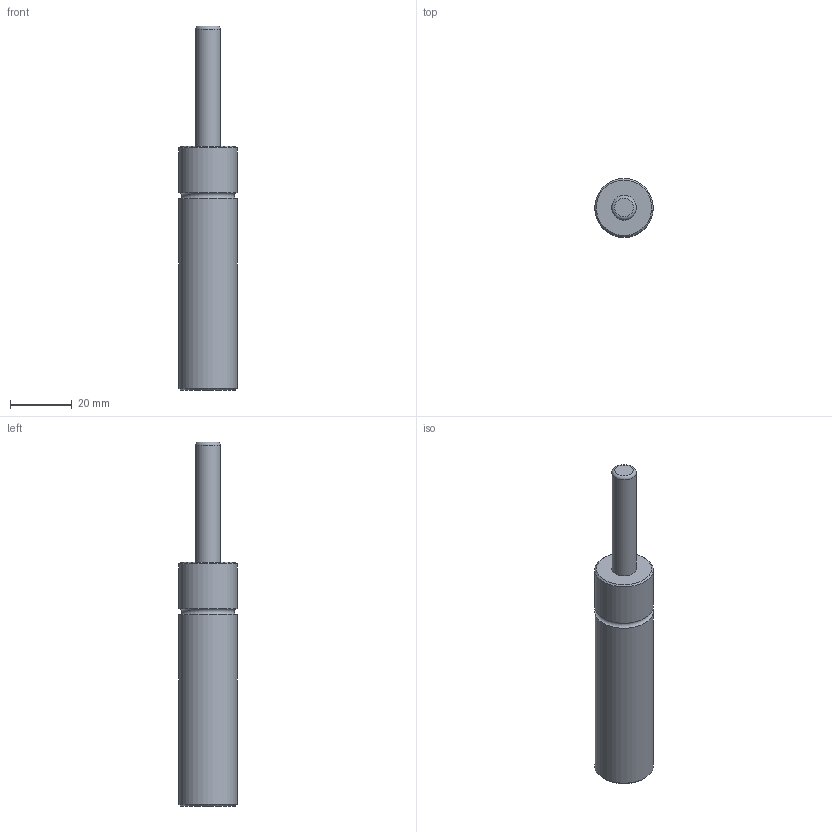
import cadquery as cq

body_diameter = 19.0
body_length = 79.1
body_edge_chamfer = 0.5
rod_diameter = 8.0
rod_length = 39.1
rod_end_radius = 1.0
groove_radius = 1.0
groove_distance_from_top = 16.0

body_radius = body_diameter / 2
groove_center_height = body_length - groove_distance_from_top


def make_body():
    """Cylinder body with both end edges chamfered."""
    body = cq.Workplane("XY").circle(body_radius).extrude(body_length)
    return body.faces("<Z or >Z").edges().chamfer(body_edge_chamfer)


def make_groove():
    """Ring of round section, centred on the body surface, that cuts the groove."""
    return (
        cq.Workplane("XZ")
        .center(body_radius, groove_center_height)
        .circle(groove_radius)
        .revolve(360, (-body_radius, 0), (-body_radius, 1))
    )


def make_rod():
    """Piston rod standing on the body, with its free end rounded."""
    rod = (
        cq.Workplane("XY")
        .workplane(offset=body_length)
        .circle(rod_diameter / 2)
        .extrude(rod_length)
    )
    return rod.faces(">Z").edges().fillet(rod_end_radius)


result = make_body().cut(make_groove()).union(make_rod())